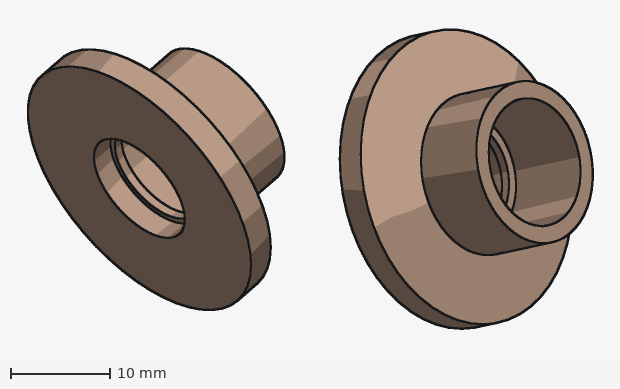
import cadquery as cq
import math

flange_diameter = 30.0
tube_diameter = 16.5
front_hole_diameter = 12.2
lip_diameter = 11.0
tube_bore_diameter = 13.0

total_length = 12.7
rim_thickness = 3.0
cone_angle = 15.0
front_hole_depth = 2.5
lip_length = 1.0

flange_radius = flange_diameter / 2
tube_radius = tube_diameter / 2
cone_height = (flange_radius - tube_radius) * math.tan(math.radians(cone_angle))
cone_end = rim_thickness + cone_height
lip_end = front_hole_depth + lip_length


def make_body():
    """Rim, conical back and tube stub as one solid of revolution."""
    half_profile = (
        cq.Workplane("XY")
        .moveTo(0, 0)
        .lineTo(flange_radius, 0)
        .lineTo(flange_radius, rim_thickness)
        .lineTo(tube_radius, cone_end)
        .lineTo(tube_radius, total_length)
        .lineTo(0, total_length)
        .close()
    )
    return half_profile.revolve(360, (0, 0, 0), (0, 1, 0))


def make_hole(diameter, start, end):
    """Cylinder on the Y axis between two distances from the sealing face."""
    return cq.Workplane("XZ").workplane(offset=-start).circle(diameter / 2).extrude(start - end)


front_hole = make_hole(front_hole_diameter, 0, front_hole_depth)
lip_hole = make_hole(lip_diameter, front_hole_depth, lip_end)
tube_bore = make_hole(tube_bore_diameter, lip_end, total_length)

result = make_body().cut(front_hole).cut(lip_hole).cut(tube_bore)